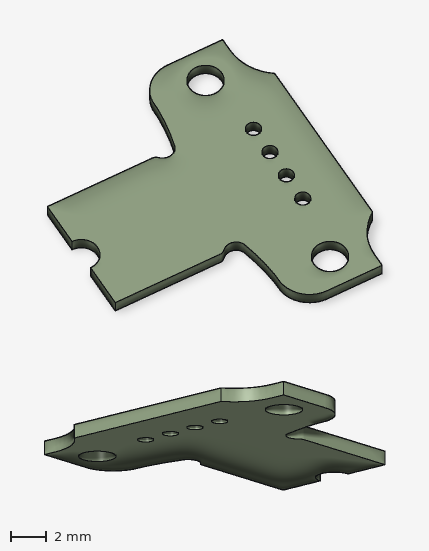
import cadquery as cq
import math

width = 18.0
length = 15.62
thickness = 0.8
half_width = width / 2

top_half_width = 5.53
shoulder_drop = 1.37
shoulder_radius = 3.17

corner_radius = 2.0
corner_end_x = 7.24
wing_bottom_y = 8.71
sweep_start_x = 6.57
sweep_mid = (5.44, 8.59)

stem_half_width = 3.83
relief_radius = 0.7
relief_x = 4.15
relief_y = 7.61
relief_top_x = 3.89
root_radius = 0.45

mount_hole_radius = 1.05
mount_hole_x = 7.02
mount_hole_y = 12.02
pin_hole_radius = 0.45
pin_count = 4
pin_pitch = 1.85
pin_y = 12.69
end_notch_radius = 1.05


def on_circle(center, radius, angle):
    """Point on a circle at an angle in radians."""
    return (center[0] + radius * math.cos(angle), center[1] + radius * math.sin(angle))


def half_plate():
    """The +X half of the plate, without openings."""
    relief_center = (relief_x, relief_y)
    root_x = stem_half_width - root_radius
    root_gap_x = relief_x - root_x
    root_gap_y = math.sqrt((relief_radius + root_radius) ** 2 - root_gap_x**2)
    root_center = (root_x, relief_y - root_gap_y)
    root_angle = math.atan2(root_gap_y, root_gap_x)
    root_start = (stem_half_width, root_center[1])
    root_mid = on_circle(root_center, root_radius, root_angle / 2)
    root_end = on_circle(root_center, root_radius, root_angle)
    relief_mid = (relief_x - relief_radius, relief_y)
    relief_top_y = relief_y + math.sqrt(relief_radius**2 - (relief_x - relief_top_x) ** 2)

    corner_center = (half_width - corner_radius, wing_bottom_y + corner_radius)
    corner_end_angle = -math.acos((corner_end_x - corner_center[0]) / corner_radius)
    corner_start = on_circle(corner_center, corner_radius, corner_end_angle)
    corner_mid = on_circle(corner_center, corner_radius, corner_end_angle / 2)

    shoulder_y = length - shoulder_drop
    shoulder_center_y = shoulder_y + shoulder_radius
    shoulder_rise = shoulder_radius - shoulder_drop
    shoulder_center_x = top_half_width + math.sqrt(shoulder_radius**2 - shoulder_rise**2)
    shoulder_center = (shoulder_center_x, shoulder_center_y)
    upper_angle = math.atan2(-shoulder_rise, top_half_width - shoulder_center_x)
    shoulder_mid = on_circle(shoulder_center, shoulder_radius, (upper_angle - math.pi / 2) / 2)

    return (
        cq.Workplane("XY")
        .moveTo(0, 0)
        .lineTo(stem_half_width, 0)
        .lineTo(*root_start)
        .threePointArc(root_mid, root_end)
        .threePointArc(relief_mid, (relief_top_x, relief_top_y))
        .threePointArc(sweep_mid, (sweep_start_x, wing_bottom_y))
        .lineTo(*corner_start)
        .threePointArc(corner_mid, (half_width, corner_center[1]))
        .lineTo(half_width, shoulder_y)
        .lineTo(shoulder_center_x, shoulder_y)
        .threePointArc(shoulder_mid, (top_half_width, length))
        .lineTo(0, length)
        .close()
        .extrude(thickness)
    )


def round_cutters(points, radius):
    """Full-thickness cylinders at the given places."""
    return cq.Workplane("XY").pushPoints(points).circle(radius).extrude(thickness)


half = half_plate()
plate = half.union(half.mirror("YZ")).clean()

mount_points = [(side * mount_hole_x, mount_hole_y) for side in (-1, 1)]
pin_points = [((i - (pin_count - 1) / 2) * pin_pitch, pin_y) for i in range(pin_count)]

result = (
    plate.cut(round_cutters(mount_points, mount_hole_radius))
    .cut(round_cutters(pin_points, pin_hole_radius))
    .cut(round_cutters([(0, 0)], end_notch_radius))
)